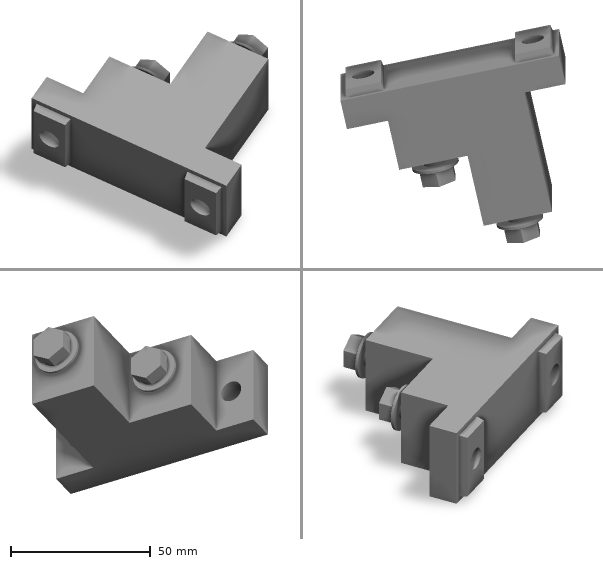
import cadquery as cq
import math

length = 80.0
height = 30.0
foot_height = 3.0
flange_top = 14.0
low_step_top = 33.0
high_step_top = 60.0
block_length = 50.0
step_length = block_length / 2

foot_spacing = 62.0
foot_length = 14.0
foot_width = 26.0
foot_draft = 10.0
mount_hole_diameter = 8.2

bolt_offset = 0.5
shank_diameter = 8.0
shank_length = 5.0
washer_diameter = 17.0
washer_thickness = 1.0
collar_diameter = 12.0
collar_thickness = 1.0
hex_across_flats = 12.0
head_height = 5.0


def box(x_start, x_end, y_start, y_end):
    """Full-height box, centred on Z."""
    size = (x_end - x_start, y_end - y_start, height)
    return cq.Workplane("XY").box(*size, centered=(False, False, True)).translate((x_start, y_start, 0))


def plane_facing_y(x, y):
    """Workplane at (x, y, 0) with its normal along +Y and its local Y along Z."""
    return cq.Workplane(cq.Plane(origin=(x, y, 0), xDir=(-1, 0, 0), normal=(0, 1, 0)))


def make_body():
    block_start = (length - block_length) / 2
    block_end = block_start + block_length
    flange = box(0, length, foot_height, flange_top)
    low_step = box(block_start, block_end, foot_height, low_step_top)
    high_step = box(block_start + step_length, block_end, foot_height, high_step_top)
    return flange.union(low_step).union(high_step)


def make_foot(x):
    """Pad tapering away from the flange towards -Y."""
    base = cq.Workplane("XZ", origin=(x, foot_height, 0)).rect(foot_length, foot_width)
    return base.extrude(foot_height, taper=foot_draft)


def make_mount_hole(x):
    return plane_facing_y(x, 0).circle(mount_hole_diameter / 2).extrude(flange_top)


def make_bolt(x, seat):
    """Shank, washer, collar and hex head stacked along +Y from the seat face."""
    washer_start = seat + shank_length
    collar_start = washer_start + washer_thickness
    head_start = collar_start + collar_thickness
    hex_across_corners = hex_across_flats / math.cos(math.pi / 6)

    shank = plane_facing_y(x, seat).circle(shank_diameter / 2).extrude(shank_length)
    washer = plane_facing_y(x, washer_start).circle(washer_diameter / 2).extrude(washer_thickness)
    collar = plane_facing_y(x, collar_start).circle(collar_diameter / 2).extrude(collar_thickness)
    hexagon = plane_facing_y(x, head_start).transformed(rotate=(0, 0, 90)).polygon(6, hex_across_corners)
    return shank.union(washer).union(collar).union(hexagon.extrude(head_height))


result = make_body()

for side in (-1, 1):
    foot_x = length / 2 + side * foot_spacing / 2
    result = result.union(make_foot(foot_x)).cut(make_mount_hole(foot_x))

for side, seat in ((-1, low_step_top), (1, high_step_top)):
    bolt_x = length / 2 + side * step_length / 2 - bolt_offset
    result = result.union(make_bolt(bolt_x, seat))

result = result.translate((-length / 2, 0, 0))